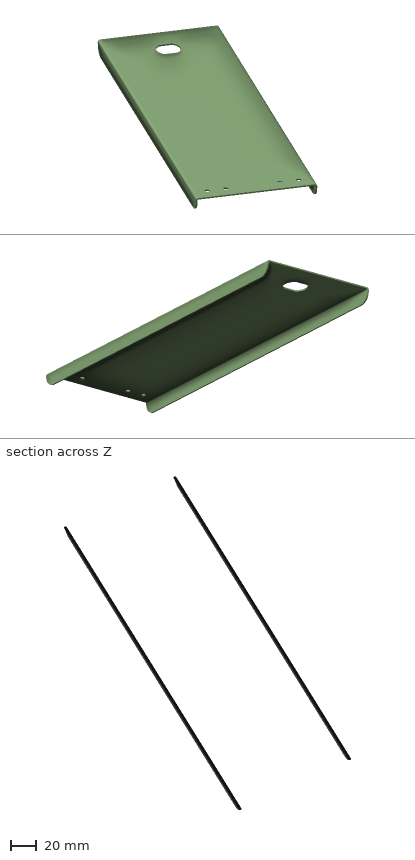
import cadquery as cq

length = 292.0
width = 98.0
height = 12.0

thickness = 1.2
inner_bend_radius = 0.75
outer_bend_radius = inner_bend_radius + thickness
flange_corner_radius = 9.0

opening_diameter = 19.5
opening_flat_width = 16.5
opening_end_distance = 30.0

hole_diameter = 4.0
hole_end_distance = 11.0
inner_hole_spacing = 44.0
outer_hole_spacing = 74.0


def bent_channel():
    """Sheet folded into a channel that opens downward, with its top face at Z = 0."""
    outer = (
        cq.Workplane("XY")
        .box(length, width, height, centered=(True, True, False))
        .translate((0, 0, -height))
        .edges("|X and >Z")
        .fillet(outer_bend_radius)
    )
    inner = (
        cq.Workplane("XY")
        .box(length, width - 2 * thickness, height, centered=(True, True, False))
        .translate((0, 0, -height - thickness))
        .edges("|X and >Z")
        .fillet(inner_bend_radius)
    )
    return outer.cut(inner)


def round_flange_corners(channel):
    """Round the free lower corners of both flanges."""
    return channel.edges("|Y and <Z").fillet(flange_corner_radius)


def flatted_opening():
    """Cutter for the round opening with flats facing -X and +X."""
    center_x = opening_end_distance - length / 2
    disc = cq.Workplane("XY").circle(opening_diameter / 2).extrude(-height)
    flats = cq.Workplane("XY").rect(opening_flat_width, opening_diameter).extrude(-height)
    return disc.intersect(flats).translate((center_x, 0, 0))


def small_holes():
    """Cutter for the row of four small holes across the plate."""
    hole_x = length / 2 - hole_end_distance
    centers = [
        (hole_x, side * spacing / 2)
        for spacing in (inner_hole_spacing, outer_hole_spacing)
        for side in (-1, 1)
    ]
    return cq.Workplane("XY").pushPoints(centers).circle(hole_diameter / 2).extrude(-height)


cover = round_flange_corners(bent_channel())
result = cover.cut(flatted_opening()).cut(small_holes())